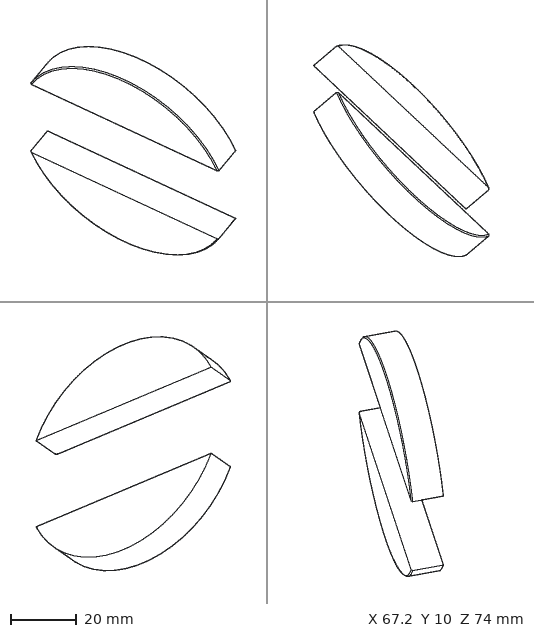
import cadquery as cq

disc_radius = 37.0
thickness = 10.0
gap_height = 31.0
rim_chamfer = 0.4

flat_height = gap_height / 2
segment_height = disc_radius - flat_height


def disc_segment(side):
    """Part of the chamfered disc beyond one flat; side is +1 (upper) or -1 (lower)."""
    disc = (
        cq.Workplane("XZ", origin=(0, thickness, 0))
        .circle(disc_radius)
        .extrude(thickness)
        .faces("<Y")
        .chamfer(rim_chamfer)
    )
    keep_zone = cq.Workplane("XY").box(2 * disc_radius, thickness, segment_height).translate(
        (0, thickness / 2, side * (flat_height + segment_height / 2))
    )
    return disc.intersect(keep_zone).solids()


segments = [disc_segment(side) for side in (1, -1)]

result = cq.Compound.makeCompound([segment.val() for segment in segments])